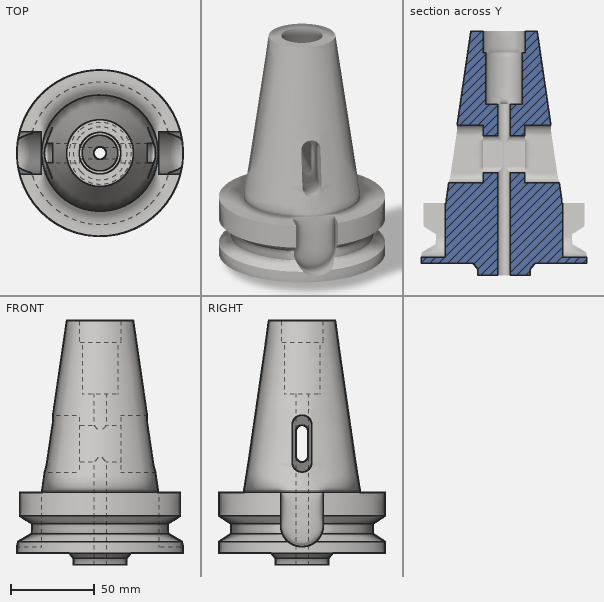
import cadquery as cq

total_height = 146.8
hub_chamfer_z = 3.8
flange_bottom_z = 7.0
groove_bottom_z = 14.0
groove_floor_low_z = 18.6
groove_floor_high_z = 24.7
groove_top_z = 29.4
flange_top_z = 43.5
taper_base_z = 44.8

hub_radius = 16.0
hub_root_radius = 18.6
flange_radius = 100.0 / 2
groove_radius = 42.9
taper_base_radius = 35.0
taper_slope = 7 / 48
taper_top_radius = taper_base_radius - taper_slope * (total_height - taper_base_z)

bore_radius = 12.5
bore_depth = 13.0
inner_bore_radius = 10.7
inner_bore_depth = 44.0
through_hole_radius = 3.7

drive_slot_width = 25.7
drive_slot_bottom_z = 10.9
drive_slot_floor_x = 35.4

window_center_z = 72.8
window_width = 7.0
window_height = 22.0
window_pocket_width = 11.7
window_pocket_height = 34.2
window_pocket_floor_x = 12.5


def turned_body():
    profile = [
        (0, 0),
        (hub_radius, 0),
        (hub_radius, hub_chamfer_z),
        (hub_root_radius, flange_bottom_z),
        (flange_radius, flange_bottom_z),
        (flange_radius, groove_bottom_z),
        (groove_radius, groove_floor_low_z),
        (groove_radius, groove_floor_high_z),
        (flange_radius, groove_top_z),
        (flange_radius, flange_top_z),
        (taper_base_radius, flange_top_z),
        (taper_base_radius, taper_base_z),
        (taper_top_radius, total_height),
        (0, total_height),
    ]
    return cq.Workplane("XZ").polyline(profile).close().revolve(360, (0, 0), (0, 1))


def hole_from_top(radius, depth):
    return cq.Workplane("XY").workplane(offset=total_height - depth).circle(radius).extrude(depth)


def drive_slot():
    """Slot on the +X side, open at the flange top and round at its lower end."""
    radius = drive_slot_width / 2
    return (
        cq.Workplane("YZ", origin=(drive_slot_floor_x, 0, drive_slot_bottom_z + radius))
        .moveTo(-radius, 0)
        .threePointArc((0, -radius), (radius, 0))
        .lineTo(radius, flange_top_z)
        .lineTo(-radius, flange_top_z)
        .close()
        .extrude(flange_radius)
    )


def upright_slot(start_x, length_x, width, height):
    """Round-ended vertical slot running along +X from start_x."""
    return (
        cq.Workplane("YZ", origin=(start_x, 0, window_center_z))
        .slot2D(height, width, 90)
        .extrude(length_x)
    )


result = turned_body()

for radius, depth in (
    (bore_radius, bore_depth),
    (inner_bore_radius, inner_bore_depth),
    (through_hole_radius, total_height),
):
    result = result.cut(hole_from_top(radius, depth))

result = result.cut(
    upright_slot(-taper_base_radius, 2 * taper_base_radius, window_width, window_height)
)

window_pocket = upright_slot(
    window_pocket_floor_x, taper_base_radius, window_pocket_width, window_pocket_height
)
for side_cutter in (drive_slot(), window_pocket):
    result = result.cut(side_cutter).cut(side_cutter.mirror("YZ"))